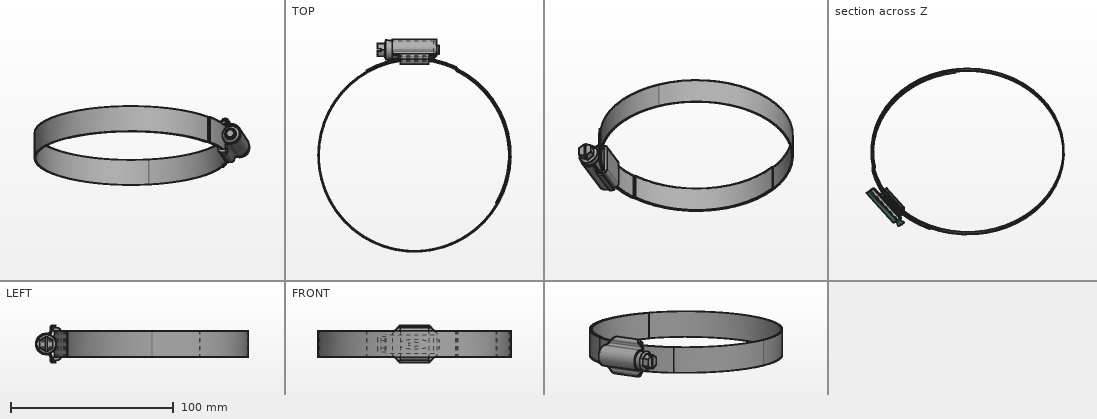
import cadquery as cq
import math


BAND_RADIUS = 59.19
BAND_THICKNESS = 0.7
BAND_WIDTH = 16.0
LAYER_GAP = 0.05
OUTER_END_ANGLE = 119.7
STEP_START_ANGLE = 64.8
STEP_END_ANGLE = 63.5
INNER_END_ANGLE = -30.2
layer_pitch = BAND_THICKNESS + LAYER_GAP
outer_tail_radius = BAND_RADIUS + layer_pitch
inner_tail_radius = BAND_RADIUS - layer_pitch

HOUSING_TOP = 71.2
HOUSING_RADIUS = 6.5
HOUSING_LENGTH = 27.2
TUBE_WALL = 0.9
HOOK_THICKNESS = 1.15
OVERALL_HEIGHT = 23.0
WALL_DROP = 0.9
FLARE_RADIUS = 1.4
HOOK_RADIUS = 1.9
LIP_END_Y = 58.95
LIP_LENGTH = 17.6
screw_y = HOUSING_TOP - HOUSING_RADIUS
bore_radius = HOUSING_RADIUS - TUBE_WALL
hook_half_width = OVERALL_HEIGHT / 2

SADDLE_LENGTH = 17.7
SADDLE_FLOOR_Y = 55.85
SADDLE_TOP_Y = 60.7
SADDLE_HALF_WIDTH = 10.0
SADDLE_THICKNESS = 1.9
SADDLE_FILLET = 2.2

HEAD_START_X = -22.7
HEAD_ACROSS_FLATS = 8.0
SLOT_WIDTH = 1.2
SLOT_DEPTH = 2.1
COLLAR_START_X = -18.3
COLLAR_RADIUS = 6.1
COLLAR_BACK_RADIUS = 5.7
COLLAR_EDGE_LENGTH = 0.8
TIP_END_X = 15.15
TIP_RADIUS = 2.8
TIP_CHAMFER = 0.4
CONE_LENGTH = 2.1
CONE_END_RADIUS = 3.5
collar_edge_x = COLLAR_START_X + COLLAR_EDGE_LENGTH
worm_start_x = -HOUSING_LENGTH / 2
worm_end_x = HOUSING_LENGTH / 2


def polar(radius, angle):
    a = math.radians(angle)
    return (radius * math.cos(a), radius * math.sin(a))


def band_runs(inset):
    """Clockwise runs of the strip, moved inward by inset: each a radius and its angle stops."""
    turn = 360
    return [
        (outer_tail_radius - inset, [OUTER_END_ANGLE, STEP_START_ANGLE]),
        (BAND_RADIUS - inset, [STEP_END_ANGLE, -turn / 2, STEP_START_ANGLE - turn]),
        (inner_tail_radius - inset, [STEP_END_ANGLE - turn, INNER_END_ANGLE - turn]),
    ]


def draw_run(outline, radius, angles):
    """Continue the outline with a straight step to the run's start, then an arc to each stop."""
    outline = outline.lineTo(*polar(radius, angles[0]))
    for start, end in zip(angles, angles[1:]):
        outline = outline.threePointArc(polar(radius, (start + end) / 2), polar(radius, end))
    return outline


def along_screw(start_x, end_x, radius):
    """Cylinder on the screw axis."""
    length = end_x - start_x
    return cq.Workplane("YZ", origin=(start_x, screw_y, 0)).circle(radius).extrude(length)


def make_band():
    outer_end_inside = polar(outer_tail_radius - BAND_THICKNESS, OUTER_END_ANGLE)
    outline = cq.Workplane("XY").workplane(offset=-BAND_WIDTH / 2).moveTo(*outer_end_inside)
    for radius, angles in band_runs(0):
        outline = draw_run(outline, radius, angles)
    for radius, angles in reversed(band_runs(BAND_THICKNESS)):
        outline = draw_run(outline, radius, angles[::-1])
    strip = outline.close().extrude(BAND_WIDTH, clean=False)
    return strip.cut(along_screw(worm_start_x, worm_end_x, bore_radius), clean=False)


def make_housing():
    half_length = HOUSING_LENGTH / 2
    wall_y = screw_y - WALL_DROP
    flare_z = HOUSING_RADIUS + FLARE_RADIUS
    roof_y = wall_y - FLARE_RADIUS
    under_roof_y = roof_y - HOOK_THICKNESS
    lip_inner_z = hook_half_width - HOOK_THICKNESS
    hook_z = hook_half_width - HOOK_RADIUS
    inner_hook_radius = HOOK_RADIUS - HOOK_THICKNESS
    inner_flare_radius = FLARE_RADIUS + HOOK_THICKNESS
    inner_flare_start_y = wall_y - math.sqrt(inner_flare_radius**2 - (flare_z - bore_radius) ** 2)

    half = (
        cq.Workplane("YZ")
        .moveTo(screw_y + bore_radius, 0)
        .radiusArc((screw_y, bore_radius), -bore_radius)
        .lineTo(inner_flare_start_y, bore_radius)
        .radiusArc((under_roof_y, flare_z), inner_flare_radius)
        .lineTo(under_roof_y, hook_z)
        .radiusArc((under_roof_y - inner_hook_radius, lip_inner_z), -inner_hook_radius)
        .lineTo(LIP_END_Y, lip_inner_z)
        .lineTo(LIP_END_Y, hook_half_width)
        .lineTo(roof_y - HOOK_RADIUS, hook_half_width)
        .radiusArc((roof_y, hook_z), HOOK_RADIUS)
        .lineTo(roof_y, flare_z)
        .radiusArc((wall_y, HOUSING_RADIUS), -FLARE_RADIUS)
        .lineTo(screw_y, HOUSING_RADIUS)
        .radiusArc((HOUSING_TOP, 0), HOUSING_RADIUS)
        .close()
        .extrude(half_length, both=True)
    )
    housing = half.union(half.mirror("XY"))

    corner = half_length - LIP_LENGTH / 2
    trim = (
        cq.Workplane("XZ")
        .rect(HOUSING_LENGTH, OVERALL_HEIGHT)
        .extrude(-2 * HOUSING_TOP)
        .edges("|Y")
        .chamfer(corner)
    )
    return housing.intersect(trim)


def make_saddle():
    height = SADDLE_TOP_Y - SADDLE_FLOOR_Y
    inner_half_width = SADDLE_HALF_WIDTH - SADDLE_THICKNESS
    block = (
        cq.Workplane("XY")
        .box(SADDLE_LENGTH, height, 2 * SADDLE_HALF_WIDTH, centered=(True, False, True))
        .edges("|X and <Y")
        .fillet(SADDLE_FILLET)
    )
    channel = cq.Workplane("XY", origin=(0, SADDLE_THICKNESS, 0)).box(
        SADDLE_LENGTH, height, 2 * inner_half_width, centered=(True, False, True)
    )
    return block.cut(channel).translate((0, SADDLE_FLOOR_Y, 0))


def make_screw():
    turned = (
        cq.Workplane("XY", origin=(0, screw_y, 0))
        .moveTo(COLLAR_START_X, 0)
        .lineTo(COLLAR_START_X, HEAD_ACROSS_FLATS / 2)
        .lineTo(collar_edge_x, COLLAR_RADIUS)
        .lineTo(worm_start_x, COLLAR_BACK_RADIUS)
        .lineTo(worm_start_x, bore_radius)
        .lineTo(worm_end_x - CONE_LENGTH, bore_radius)
        .lineTo(worm_end_x, CONE_END_RADIUS)
        .lineTo(worm_end_x, TIP_RADIUS)
        .lineTo(TIP_END_X - TIP_CHAMFER, TIP_RADIUS)
        .lineTo(TIP_END_X, TIP_RADIUS - TIP_CHAMFER)
        .lineTo(TIP_END_X, 0)
        .close()
        .revolve(360, (0, 0, 0), (1, 0, 0))
    )
    head_diameter = HEAD_ACROSS_FLATS / math.cos(math.pi / 6)
    head = (
        cq.Workplane("YZ", origin=(HEAD_START_X, screw_y, 0))
        .transformed(rotate=(0, 0, 90))
        .polygon(6, head_diameter)
        .extrude(collar_edge_x - HEAD_START_X)
    )
    slot = cq.Workplane("XY", origin=(HEAD_START_X, screw_y, 0)).box(
        2 * SLOT_DEPTH, SLOT_WIDTH, head_diameter
    )
    return turned.union(head.cut(slot))


band = make_band()
housing = make_housing()
saddle = make_saddle()
screw = make_screw()

result = cq.Compound.makeCompound([band.val(), housing.val(), saddle.val(), screw.val()])